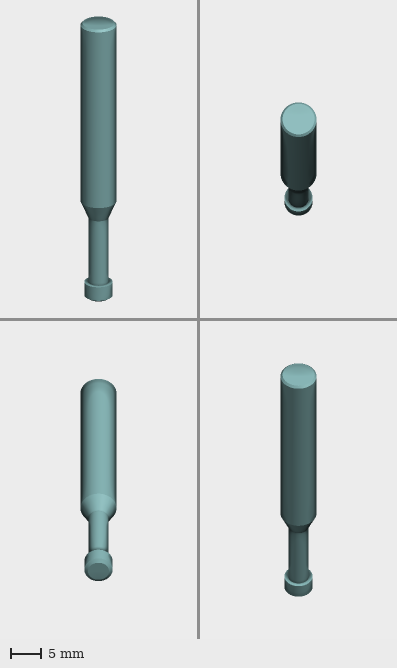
import cadquery as cq

total_length = 50.0
shank_radius = 3.0

shank_chamfer = 0.35
shank_bottom = 17.6
neck_radius = 1.7
neck_top = 14.6

head_radius = 2.35
head_height = 2.85
head_chamfer_height = 0.4
head_chamfer_width = 0.6


def make_holder():
    """Chamfered shank that tapers down to a thin neck, revolved about Z."""
    profile = (
        cq.Workplane("XZ")
        .moveTo(0, head_height)
        .lineTo(neck_radius, head_height)
        .lineTo(neck_radius, neck_top)
        .lineTo(shank_radius, shank_bottom)
        .lineTo(shank_radius, total_length - shank_chamfer)
        .lineTo(shank_radius - shank_chamfer, total_length)
        .lineTo(0, total_length)
        .close()
    )
    return profile.revolve(360, (0, 0, 0), (0, 1, 0))


def make_cutting_head():
    """Disc below the neck, with a shallow chamfer around its bottom edge."""
    profile = (
        cq.Workplane("XZ")
        .lineTo(head_radius - head_chamfer_width, 0)
        .lineTo(head_radius, head_chamfer_height)
        .lineTo(head_radius, head_height)
        .lineTo(0, head_height)
        .close()
    )
    return profile.revolve(360, (0, 0, 0), (0, 1, 0))


holder = make_holder()
cutting_head = make_cutting_head()

result = cq.Compound.makeCompound([holder.val(), cutting_head.val()])